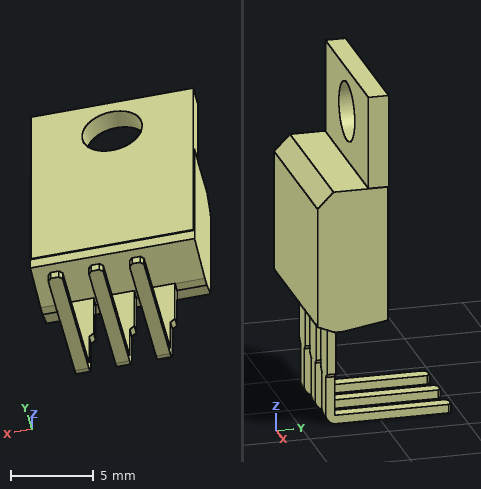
import cadquery as cq

body_width = 10.25
total_depth = 9.02
total_height = 21.85

body_depth = 4.43
body_top = 15.92
body_chamfer = 1.0
body_edge_bottom = 7.25
body_bottom = 6.8

tab_width = 10.11
tab_thickness = 1.29
tab_back = 4.5
tab_bottom = 8.05
hole_diameter = 3.73
hole_below_top = 2.77

lead_count = 3
lead_pitch = 2.53
lead_front = 1.1
lead_thickness = 0.57
lead_wide = 1.46
lead_narrow = 0.9
shoulder_bottom = 3.08
shoulder_top = shoulder_bottom + (lead_wide - lead_narrow) / 2
bend_inner_radius = 0.07
bend_outer_radius = bend_inner_radius + lead_thickness
tip_chamfer = 0.2
lead_back = lead_front + lead_thickness


def make_body():
    """Side profile with a chamfered top front edge and a sloping underside."""
    profile = [
        (body_depth, body_top),
        (body_chamfer, body_top),
        (0, body_top - body_chamfer),
        (0, body_edge_bottom),
        (lead_front, body_bottom),
        (lead_back, body_bottom),
        (body_depth, body_edge_bottom),
    ]
    return cq.Workplane("YZ").polyline(profile).close().extrude(body_width / 2, both=True)


def make_tab():
    """Flat mounting tab with a round through hole."""
    tab = cq.Workplane("XY").box(
        tab_width, tab_thickness, total_height - tab_bottom, centered=(True, False, False)
    ).translate((0, tab_back - tab_thickness, tab_bottom))
    hole = (
        cq.Workplane("XZ", origin=(0, tab_back, total_height - hole_below_top))
        .circle(hole_diameter / 2)
        .extrude(tab_thickness)
    )
    return tab.cut(hole)


def make_lead():
    """Narrow bent strip with a chamfered tip and a wide upper part below the body."""
    leg = (
        cq.Workplane("XY")
        .box(lead_narrow, lead_thickness, body_bottom, centered=(True, False, False))
        .translate((0, lead_front, 0))
    )
    foot = (
        cq.Workplane("XY")
        .box(lead_narrow, total_depth - lead_front, lead_thickness, centered=(True, False, False))
        .translate((0, lead_front, 0))
        .edges(">Y and |Z")
        .chamfer(tip_chamfer)
    )
    inner_corner = cq.selectors.NearestToPointSelector((0, lead_back, lead_thickness))
    outer_corner = cq.selectors.NearestToPointSelector((0, lead_front, 0))
    strip = leg.union(foot).clean()
    strip = strip.edges("|X").edges(inner_corner).fillet(bend_inner_radius)
    strip = strip.edges("|X").edges(outer_corner).fillet(bend_outer_radius)
    wide_outline = [
        (-lead_narrow / 2, shoulder_bottom),
        (lead_narrow / 2, shoulder_bottom),
        (lead_wide / 2, shoulder_top),
        (lead_wide / 2, body_bottom),
        (-lead_wide / 2, body_bottom),
        (-lead_wide / 2, shoulder_top),
    ]
    wide_part = (
        cq.Workplane("XZ", origin=(0, lead_back, 0)).polyline(wide_outline).close().extrude(lead_thickness)
    )
    return strip.union(wide_part)


result = make_body().union(make_tab())
lead = make_lead()
for index in range(lead_count):
    lead_x = (index - (lead_count - 1) / 2) * lead_pitch
    result = result.union(lead.translate((lead_x, 0, 0)))